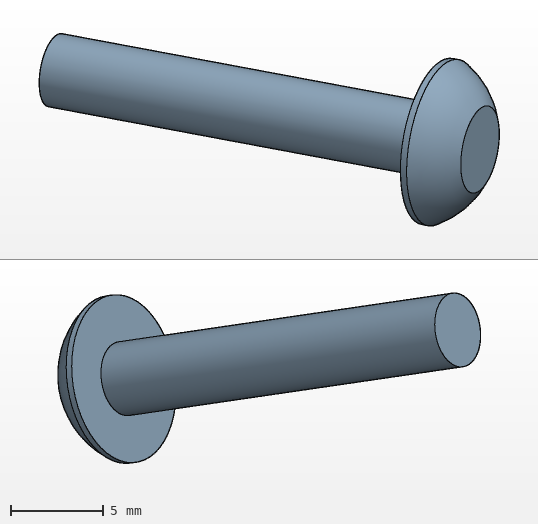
import cadquery as cq
import math

shank_length = 23.0
shank_diameter = 4.04
head_diameter = 9.17
head_height = 2.58
rim_thickness = 0.38
crown_diameter = 4.8

shank_radius = shank_diameter / 2
head_radius = head_diameter / 2
crown_radius = crown_diameter / 2
rim_end = shank_length + rim_thickness
head_end = shank_length + head_height


def dome_midpoint():
    """Middle of the dome arc, on a sphere centred on the axis through the rim and crown edges."""
    dome_height = head_end - rim_end
    center_depth = (head_radius**2 - crown_radius**2 - dome_height**2) / (2 * dome_height)
    sphere_radius = math.hypot(head_radius, center_depth)
    rim_angle = math.atan2(head_radius, center_depth)
    crown_angle = math.atan2(crown_radius, center_depth + dome_height)
    middle_angle = (rim_angle + crown_angle) / 2
    return (
        rim_end - center_depth + sphere_radius * math.cos(middle_angle),
        sphere_radius * math.sin(middle_angle),
    )


def make_shank():
    return cq.Workplane("YZ").circle(shank_radius).extrude(shank_length)


def make_head():
    """Revolve the half profile of the head about the X axis."""
    return (
        cq.Workplane("XY")
        .moveTo(shank_length, 0)
        .lineTo(shank_length, head_radius)
        .lineTo(rim_end, head_radius)
        .threePointArc(dome_midpoint(), (head_end, crown_radius))
        .lineTo(head_end, 0)
        .close()
        .revolve(360, (0, 0, 0), (1, 0, 0))
    )


result = make_shank().union(make_head())